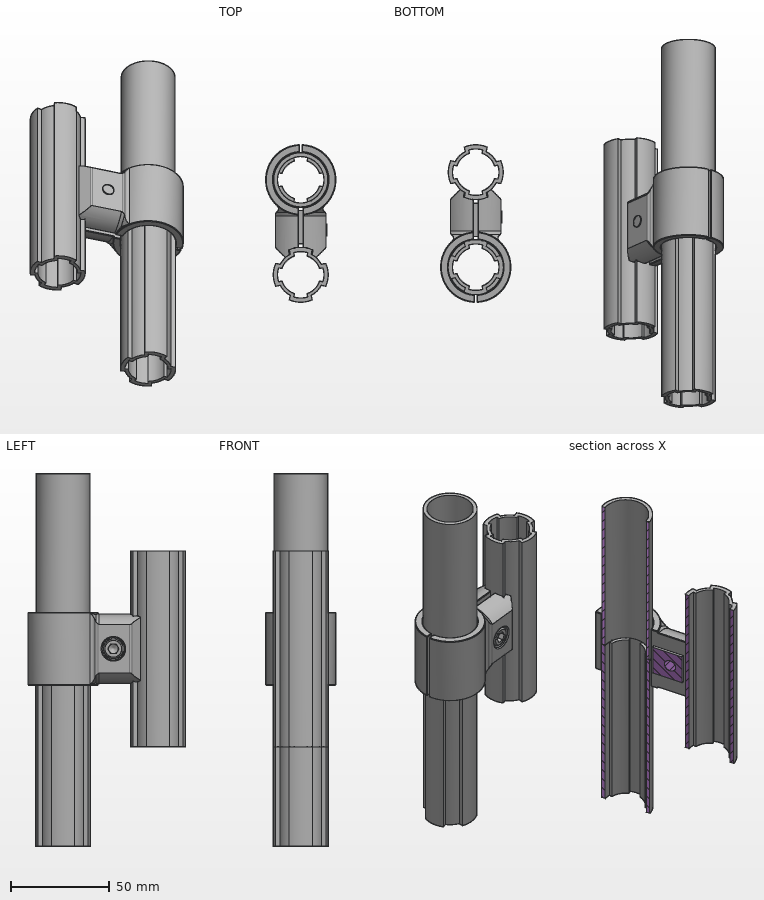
import cadquery as cq
import math

axis_distance = 48.5
profile_diameter = 28.1
profile_length = 100.0
recess_diameter = 23.5
core_diameter = 20.1
lobe_neck_width = 10.6
lobe_tip_width = 12.4
channel_mouth_width = 6.0
channel_mouth_radius = 9.1
channel_floor_width = 7.2
plain_diameter = 27.5
plain_bore = 23.5
main_length = 190
main_bottom = -100.7
plain_length = main_length - profile_length
joint_z = main_bottom + profile_length

ring_diameter = 36.0
ring_height = 37.2
ring_bore = 28.1
edge_chamfer = 0.4
front_slit = 2.3
back_slit = 1.1

arm_diameter = 35.7
arm_width = 25.8
neck_width = 24.0
neck_end = 16.2
arm_start = 17.0
arm_start_radius = 1.9
bevel_start = 34.5
bevel_length = 5.0
bevel_depth = 5.0
bevel_radius = 1.5
arm_end = bevel_start + bevel_length
flare_end = 18.5
flare_bend = 16.7
flare_bend_diameter = 37.2
flare_root = 13.7
flare_root_diameter = 43.7

seat_neck_width = 11.4
seat_tip_width = 13.1

spacer_length = 17.1
spacer_height = 17.1
spacer_start = 15.5

bolt_y = -25.6
bolt_diameter = 6.0
bolt_length = 20.0
bolt_protrusion = 0.5
head_diameter = 10.0
head_height = 6.0
head_chamfer = 0.8
socket_flats = 5.0
socket_depth = 3.0
socket_cone_depth = 1.5
head_seat_diameter = 11.4
head_seat_chamfer = 0.5
bolt_tip_x = arm_width / 2 + bolt_protrusion
head_seat_x = bolt_tip_x - bolt_length
head_top_x = head_seat_x - head_height


def disc(diameter, length):
    return cq.Workplane("XY").circle(diameter / 2).extrude(length)


def rod(diameter, start_x, length):
    """A cylinder along X on the bolt axis."""
    plane = cq.Workplane("YZ", origin=(start_x, bolt_y, 0))
    return plane.circle(diameter / 2).extrude(length)


def bolt_axis_cone(start_diameter, end_diameter, start_x, length):
    """A cone along X on the bolt axis."""
    start = cq.Vector(start_x, bolt_y, 0)
    cone = cq.Solid.makeCone(start_diameter / 2, end_diameter / 2, length, start, cq.Vector(1, 0, 0))
    return cq.Workplane(cone)


def four_dovetails(inner_radius, outer_radius, inner_width, outer_width, length):
    """Four prisms around Z that widen evenly from the inner to the outer radius."""
    outline = [
        (inner_radius, -inner_width / 2),
        (outer_radius, -outer_width / 2),
        (outer_radius, outer_width / 2),
        (inner_radius, inner_width / 2),
    ]
    dovetail = cq.Workplane("XY").polyline(outline).close().extrude(length)
    prisms = dovetail
    for quarter in range(1, 4):
        prisms = prisms.union(dovetail.rotate((0, 0, 0), (0, 0, 1), 90 * quarter))
    return prisms


def lobed_disc(lobe_neck, lobe_tip):
    """A round core with four undercut lobes, as long as a profile tube."""
    lobes = four_dovetails(
        core_diameter / 2, profile_diameter / 2, lobe_neck, lobe_tip, profile_length
    ).intersect(disc(profile_diameter, profile_length))
    return disc(recess_diameter, profile_length).union(lobes)


def make_profile_tube(y, bottom_z):
    channels = four_dovetails(
        channel_mouth_radius, recess_diameter / 2, channel_mouth_width, channel_floor_width, profile_length
    ).intersect(disc(recess_diameter, profile_length))
    hollow = disc(core_diameter, profile_length).union(channels)
    return lobed_disc(lobe_neck_width, lobe_tip_width).cut(hollow).translate((0, y, bottom_z))


def make_plain_tube():
    tube = disc(plain_diameter, plain_length).cut(disc(plain_bore, plain_length))
    return tube.translate((0, 0, joint_z))


def rounded_upright(body, x, y, radius):
    """Round the upright edge of a body that stands at the point (x, y)."""
    return body.edges(cq.selectors.NearestToPointSelector((x, y, 0))).fillet(radius)


def make_arm():
    """The arm's plan outline, limited to a round bar along Y with cones that flare up to the ring."""
    ring_radius = ring_diameter / 2
    neck_x = neck_width / 2
    neck_root_y = -math.sqrt(ring_radius**2 - neck_x**2)
    neck_chord = neck_end + neck_root_y
    tangent_angle = math.atan2(-neck_root_y, neck_x)
    neck_sag = neck_chord / 2 * math.tan(tangent_angle / 2)
    neck_middle = (neck_x - neck_sag, (neck_root_y - neck_end) / 2)
    side_and_bevel = [
        (arm_width / 2, -arm_start),
        (arm_width / 2, -bevel_start),
        (arm_width / 2 - bevel_depth, -arm_end),
        (0, -arm_end),
    ]
    top_z = ring_height / 2 - edge_chamfer
    outline = cq.Workplane("XY").lineTo(neck_x, 0).lineTo(neck_x, neck_root_y)
    outline = outline.threePointArc(neck_middle, (neck_x, -neck_end))
    outline = outline.polyline(side_and_bevel, includeCurrent=True)
    plan = outline.close().extrude(top_z, both=True)
    plan = rounded_upright(plan, arm_width / 2, -arm_start, arm_start_radius)
    plan = rounded_upright(plan, arm_width / 2, -bevel_start, bevel_radius)
    plan = plan.union(plan.mirror("YZ"))
    bar_profile = [
        (0, -flare_root),
        (flare_root_diameter / 2, -flare_root),
        (flare_bend_diameter / 2, -flare_bend),
        (arm_diameter / 2, -flare_end),
        (arm_diameter / 2, -arm_end),
        (0, -arm_end),
    ]
    bar = cq.Workplane("XY").polyline(bar_profile).close().revolve(360, (0, 0, 0), (0, 1, 0))
    return plan.intersect(bar)


def make_clamp_blank():
    """Both clamp halves in one piece, with the two tube seats."""
    ring = disc(ring_diameter, ring_height).translate((0, 0, -ring_height / 2))
    bore = disc(ring_bore, ring_height).translate((0, 0, -ring_height / 2))
    chamfered_ring = ring.edges().chamfer(edge_chamfer)
    blank = chamfered_ring.union(make_arm()).cut(bore)
    for end in (-1, 1):
        rim_centre = cq.Vector(0, 0, end * ring_height / 2)
        inward = cq.Vector(0, 0, -end)
        rim_radius = ring_bore / 2 + edge_chamfer
        countersink = cq.Solid.makeCone(rim_radius, ring_bore / 2, edge_chamfer, rim_centre, inward)
        blank = blank.cut(cq.Workplane(countersink))
    seat = lobed_disc(seat_neck_width, seat_tip_width).translate((0, -axis_distance, -profile_length / 2))
    return blank.cut(seat)


def make_bolt():
    shank = rod(bolt_diameter, head_seat_x, bolt_length)
    head = rod(head_diameter, head_top_x, head_height).faces("<X").edges().chamfer(head_chamfer)
    socket_corners = socket_flats / math.cos(math.pi / 6)
    socket_plane = cq.Workplane("YZ", origin=(head_top_x, bolt_y, 0))
    socket = socket_plane.polygon(6, socket_corners).extrude(socket_depth)
    socket_tip = bolt_axis_cone(socket_flats, 0, head_top_x + socket_depth, socket_cone_depth)
    return head.union(shank).cut(socket).cut(socket_tip)


def bolt_clearance():
    """The stepped hole for the bolt, with a chamfered counterbore for its head."""
    outer_face = -arm_width / 2
    through = rod(bolt_diameter, outer_face, arm_width)
    counterbore = rod(head_seat_diameter, outer_face, head_seat_x - outer_face)
    rim_diameter = head_seat_diameter + 2 * head_seat_chamfer
    rim = bolt_axis_cone(rim_diameter, head_seat_diameter, outer_face, head_seat_chamfer)
    return through.union(counterbore).union(rim)


def quarter_space(side, slit, direction):
    """A block on one side of a slit in the X = 0 plane, reaching past the clamp toward +Y or -Y."""
    reach = axis_distance
    block = cq.Workplane("XY").box(reach, reach, ring_height)
    return block.translate((side * (slit + reach) / 2, direction * reach / 2, 0))


def make_clamp_half(side):
    """The half of the clamp on the -X side (side = -1) or on the +X side (side = 1)."""
    side_space = quarter_space(side, front_slit, -1).union(quarter_space(side, back_slit, 1))
    half = make_clamp_blank().intersect(side_space)
    for slit, y in ((front_slit, -flare_end), (back_slit, ring_diameter / 2)):
        slit_face = half.faces(cq.selectors.NearestToPointSelector((side * slit / 2, y, 0)))
        half = slit_face.edges().chamfer(edge_chamfer)
    return half.cut(bolt_clearance())


def make_spacer():
    plate = cq.Workplane("XY").box(front_slit, spacer_length, spacer_height)
    plate = plate.translate((0, -spacer_start - spacer_length / 2, 0))
    return plate.cut(rod(bolt_diameter, -front_slit / 2, front_slit))


plain_tube = make_plain_tube()
profile_tubes = [
    make_profile_tube(y, bottom_z)
    for y, bottom_z in ((0, main_bottom), (-axis_distance, -profile_length / 2))
]
clamp_halves = [make_clamp_half(side) for side in (-1, 1)]
spacer = make_spacer()
bolt = make_bolt()

result = cq.Compound.makeCompound([
    plain_tube.val(),
    *[tube.val() for tube in profile_tubes],
    *[half.val() for half in clamp_halves],
    spacer.val(),
    bolt.val(),
])